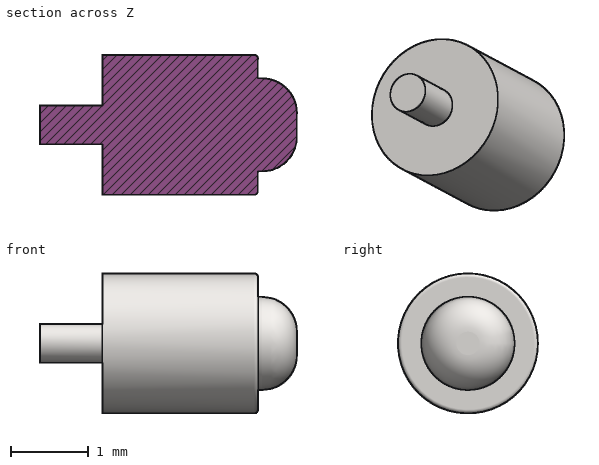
import cadquery as cq

pin_diameter = 0.5
pin_length = 0.8
body_diameter = 1.8
body_length = 2.0
body_edge_radius = 0.05
button_diameter = 1.2
button_length = 0.5
button_straight_length = 0.05
button_edge_radius = button_length - button_straight_length


def cylinder_along_x(diameter, start_x, length):
    """Solid cylinder on the X axis, running from start_x towards +X."""
    return cq.Workplane("YZ", origin=(start_x, 0, 0)).circle(diameter / 2).extrude(length)


pin = cylinder_along_x(pin_diameter, -pin_length, pin_length)

body = cylinder_along_x(body_diameter, 0, body_length)
body = body.faces(">X").edges().fillet(body_edge_radius)

button = cylinder_along_x(button_diameter, body_length, button_length)
button = button.faces(">X").edges().fillet(button_edge_radius)

result = body.union(pin).union(button)